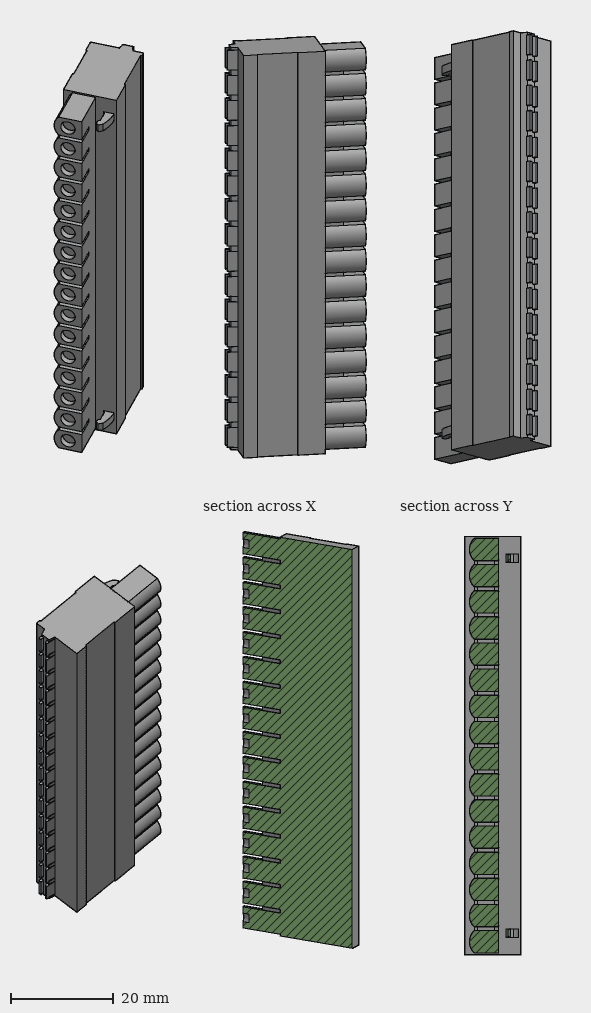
import cadquery as cq

POLES = 16
HEIGHT = 81.3
PITCH = HEIGHT / POLES

WIDTH = 10.9
BODY_FRONT = 8.3
BODY_BACK = 24.5
RECESS_DEPTH = 0.25
RECESS_FRONT = 13.7
LEFT_RECESS_BACK = 21.7
RIGHT_RECESS_BACK = 23.5

PLUG_LEFT = 0.9
PLUG_SHOULDER = 1.9
PLUG_RIGHT = 6.6
PLUG_HEIGHT = 4.4
HOLE_X = 3.7
HOLE_DIAMETER = 2.9
HOLE_DEPTH = 1.3

WEB_FRONT = 4.3
LEFT_WEB_THICKNESS = 0.65
RIGHT_WEB_THICKNESS = 0.8

RAIL_LEFT = 5.9
RAIL_RIGHT = 8.8
RAIL_TOP_LEFT = 6.25
RAIL_TOP_RIGHT = 8.2
RAIL_BACK = 25.8
PRONG_HEIGHT = 4.0
PRONG_RIGHT = 8.3
PRONG_BACK = 26.5
LEFT_PRONG_TIP_LEFT = 6.2
LEFT_PRONG_TIP_RIGHT = 6.5
LEFT_PRONG_BASE_RIGHT = 6.8
RIGHT_PRONG_LEFT = 7.7

LATCH_THICKNESS = 1.6
LATCH_END_OFFSET = 4.2
LATCH_INNER_SIDE = 8.5
LATCH_ROOT_CHAMFER = 0.3
LATCH_OUTER_SIDE = 10.4
HOOK_BACK = 5.6
HOOK_CATCH = (8.05, 5.0)
HOOK_NOSE = (8.05, 4.5)
HOOK_TIP = (8.6, 3.9)
HOOK_HEEL = (9.4, 4.5)
LATCH_OUTER_BULGE = (10.1, 6.2)


def prism(sketch, z_middle, height):
    """Extrude a closed XY outline along Z, centred on z_middle."""
    return sketch.extrude(height / 2, both=True).translate((0, 0, z_middle))


def box(x_range, y_range, z_middle, height):
    size_x = x_range[1] - x_range[0]
    size_y = y_range[1] - y_range[0]
    block = cq.Workplane("XY").box(size_x, size_y, height, centered=(False, False, True))
    return block.translate((x_range[0], y_range[0], z_middle))


def make_housing():
    middle = HEIGHT / 2
    housing = box((0, WIDTH), (BODY_FRONT, BODY_BACK), middle, HEIGHT)
    left_recess = box((0, RECESS_DEPTH), (RECESS_FRONT, LEFT_RECESS_BACK), middle, HEIGHT)
    right_recess = box((WIDTH - RECESS_DEPTH, WIDTH), (RECESS_FRONT, RIGHT_RECESS_BACK), middle, HEIGHT)
    return housing.cut(left_recess).cut(right_recess)


def make_plug(z_middle):
    half = PLUG_HEIGHT / 2
    return (
        cq.Workplane("XZ")
        .moveTo(PLUG_RIGHT, z_middle - half)
        .lineTo(PLUG_RIGHT, z_middle + half)
        .lineTo(PLUG_SHOULDER, z_middle + half)
        .threePointArc((PLUG_LEFT, z_middle), (PLUG_SHOULDER, z_middle - half))
        .close()
        .extrude(-BODY_FRONT)
    )


def make_wire_hole(z_middle):
    return cq.Workplane("XZ").center(HOLE_X, z_middle).circle(HOLE_DIAMETER / 2).extrude(-HOLE_DEPTH)


def make_webs(z_middle):
    y_range = (WEB_FRONT, BODY_FRONT)
    gap = PITCH - PLUG_HEIGHT
    left = box((PLUG_SHOULDER, PLUG_SHOULDER + LEFT_WEB_THICKNESS), y_range, z_middle, gap)
    right = box((PLUG_RIGHT - RIGHT_WEB_THICKNESS, PLUG_RIGHT), y_range, z_middle, gap)
    return left.union(right)


def make_rail():
    outline = cq.Workplane("XY").polyline([
        (RAIL_LEFT, BODY_BACK),
        (RAIL_TOP_LEFT, RAIL_BACK),
        (RAIL_TOP_RIGHT, RAIL_BACK),
        (RAIL_RIGHT, BODY_BACK),
    ]).close()
    return prism(outline, HEIGHT / 2, HEIGHT)


def make_prongs(z_middle):
    """Two prongs on a common foot whose left side is steeper than the rail's."""
    outline = cq.Workplane("XY").polyline([
        (RAIL_LEFT, BODY_BACK),
        (LEFT_PRONG_TIP_LEFT, PRONG_BACK),
        (LEFT_PRONG_TIP_RIGHT, PRONG_BACK),
        (LEFT_PRONG_BASE_RIGHT, RAIL_BACK),
        (RIGHT_PRONG_LEFT, RAIL_BACK),
        (RIGHT_PRONG_LEFT, PRONG_BACK),
        (PRONG_RIGHT, PRONG_BACK),
        (PRONG_RIGHT, BODY_BACK),
    ]).close()
    return prism(outline, z_middle, PRONG_HEIGHT)


def make_latch(z_middle):
    outline = (
        cq.Workplane("XY")
        .moveTo(LATCH_INNER_SIDE - LATCH_ROOT_CHAMFER, BODY_FRONT)
        .lineTo(LATCH_INNER_SIDE, BODY_FRONT - LATCH_ROOT_CHAMFER)
        .lineTo(LATCH_INNER_SIDE, HOOK_BACK)
        .lineTo(*HOOK_CATCH)
        .lineTo(*HOOK_NOSE)
        .lineTo(*HOOK_TIP)
        .lineTo(*HOOK_HEEL)
        .threePointArc(LATCH_OUTER_BULGE, (LATCH_OUTER_SIDE, BODY_FRONT))
        .close()
    )
    return prism(outline, z_middle, LATCH_THICKNESS)


pole_heights = [PITCH * (i + 0.5) for i in range(POLES)]

result = make_housing().union(make_rail())
for z in pole_heights:
    result = result.union(make_plug(z)).union(make_prongs(z))
for z in pole_heights[:-1]:
    result = result.union(make_webs(z + PITCH / 2))
for z in (LATCH_END_OFFSET, HEIGHT - LATCH_END_OFFSET):
    result = result.union(make_latch(z))
for z in pole_heights:
    result = result.cut(make_wire_hole(z))